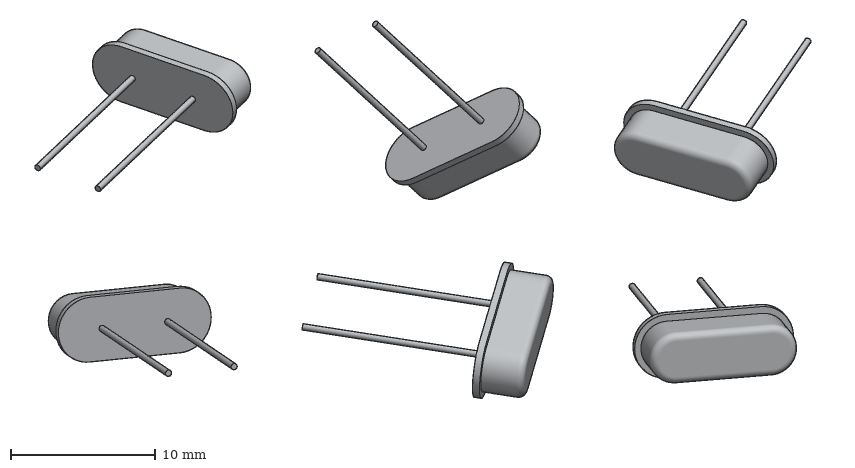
import cadquery as cq

total_length = 16.2
base_width = 11.35
base_height = 4.65
base_thickness = 0.5
can_width = 10.47
can_height = 3.66
can_depth = 3.0
can_edge_radius = 0.5
lead_diameter = 0.45
lead_spacing = 4.88

lead_length = total_length - base_thickness - can_depth


def oblong(width, height, y_start, depth):
    """Round-ended plate, extruded toward +Y from y_start."""
    return (
        cq.Workplane("XZ", origin=(0, y_start, 0))
        .slot2D(width, height)
        .extrude(-depth)
    )


def make_housing():
    """Base flange with the smaller can, rounded at its closed end, behind it."""
    base = oblong(base_width, base_height, 0, base_thickness)
    can = oblong(can_width, can_height, base_thickness, can_depth)
    can = can.faces(">Y").edges().fillet(can_edge_radius)
    return base.union(can)


def make_lead(x):
    """Round wire lead that starts on the base face and points toward -Y."""
    return (
        cq.Workplane("XZ", origin=(x, 0, 0))
        .circle(lead_diameter / 2)
        .extrude(lead_length)
    )


housing = make_housing()
leads = [make_lead(side * lead_spacing / 2) for side in (-1, 1)]

result = cq.Compound.makeCompound([housing.val(), *[lead.val() for lead in leads]])